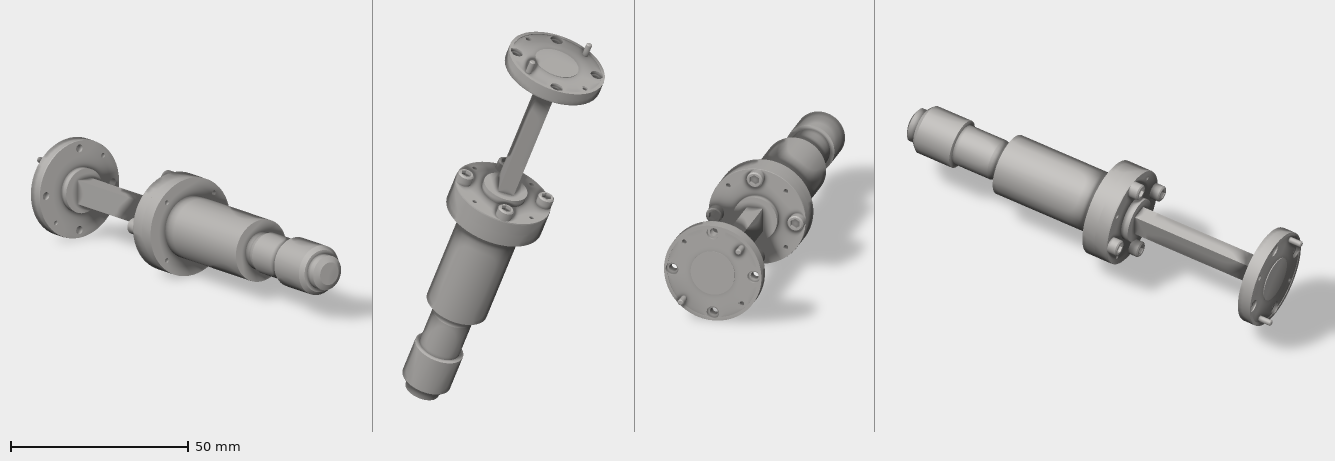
import cadquery as cq
import math


FRONT_FACE = 3.7
MICROMETER_FACE = 54.4
TOTAL_LENGTH = 122.0

FLANGE_RADIUS = 14.3
FLANGE_THICKNESS = 4.0
EDGE_CHAMFER_LENGTH = 0.4
EDGE_CHAMFER_DEPTH = 0.06
HUB_RADIUS = 6.5
HUB_LENGTH = 2.2
RECESS_RADIUS = 13.3
RECESS_DEPTH = 0.2

TUBE_WIDTH = 4.6
TUBE_HEIGHT = 7.0
BORE_WIDTH = 2.6
BORE_HEIGHT = 4.9

HOLE_CIRCLE_RADIUS = 12.0
SCREW_ANGLES = (0, 90, 180, 270)
PIN_ANGLES = (135, 315)
OPEN_HOLE_ANGLES = (45, 225)
PIN_HOLE_ANGLES = OPEN_HOLE_ANGLES + PIN_ANGLES
SCREW_HOLE_RADIUS = 1.16
COUNTERBORE_RADIUS = 1.8
COUNTERBORE_DEPTH = 1.2
PIN_RADIUS = 0.9
PIN_CHAMFER = 0.2
PIN_HOLE_RADIUS = 0.67
PIN_HOLE_MOUTH_RADIUS = 0.91
PIN_HOLE_MOUTH_DEPTH = 0.4

HEAD_RADIUS = 2.3
HEAD_LENGTH = 2.9
HEAD_CHAMFER = 0.4
SHANK_RADIUS = 1.5
SOCKET_ACROSS_FLATS = 2.7
SOCKET_DEPTH = 1.5
HEX_SIDES = 6
HEX_TURN = 180 / HEX_SIDES

BARREL_END = 90.7
BARREL_RADIUS = 9.0
NECK_END = 92.5
NECK_RADIUS = 5.5
STEM_START = 94.3
STEM_RADIUS = 6.0
STEM_END = 105.7
THIMBLE_START = 106.0
THIMBLE_EDGE = 117.2
THIMBLE_END = 118.4
THIMBLE_RADIUS = 7.2
THIMBLE_END_RADIUS = 6.1
CAP_EDGE = 121.0
CAP_RADIUS = 5.0
CAP_END_RADIUS = 3.3

FRONT_BACK = FRONT_FACE + FLANGE_THICKNESS
REAR_FACE = MICROMETER_FACE - FLANGE_THICKNESS
MICROMETER_BACK = MICROMETER_FACE + FLANGE_THICKNESS
HEAD_FACE = REAR_FACE - HEAD_LENGTH


def rod(start, end, radius, y=0.0, z=0.0):
    """Cylinder along X between two stations."""
    plane = cq.Workplane("YZ", origin=(start, y, z))
    return plane.circle(radius).extrude(end - start)


def bar(start, end, width, height):
    """Rectangular bar on the X axis between two stations."""
    return cq.Workplane("YZ", origin=(start, 0, 0)).rect(width, height).extrude(end - start)


def circle_point(angle):
    """Y and Z of a place on the hole circle, with the angle counted from +Y toward +Z."""
    turn = math.radians(angle)
    return HOLE_CIRCLE_RADIUS * math.cos(turn), HOLE_CIRCLE_RADIUS * math.sin(turn)


def drill(body, start, end, radius, angles):
    """Cut holes on the hole circle between two stations."""
    for angle in angles:
        body = body.cut(rod(start, end, radius, *circle_point(angle)))
    return body


def revolve_profile(profile):
    """Turn an outline of (X, radius) points about the X axis."""
    return cq.Workplane("XY").polyline(profile).close().revolve(360, (0, 0, 0), (1, 0, 0))


def make_flange(joint, direction):
    """Flange disc and hub, built from its joint face in the given X direction (+1 or -1)."""
    back = joint + direction * FLANGE_THICKNESS
    profile = [
        (joint, 0),
        (joint, FLANGE_RADIUS),
        (back - direction * EDGE_CHAMFER_LENGTH, FLANGE_RADIUS),
        (back, FLANGE_RADIUS - EDGE_CHAMFER_DEPTH),
        (back, HUB_RADIUS),
        (back + direction * HUB_LENGTH, HUB_RADIUS),
        (back + direction * HUB_LENGTH, 0),
    ]
    return revolve_profile(profile)


def make_waveguide():
    """Tube with a flange at each end, bored through for the plunger."""
    tube = bar(FRONT_BACK, REAR_FACE, TUBE_WIDTH, TUBE_HEIGHT)
    body = make_flange(FRONT_FACE, 1).union(tube).union(make_flange(MICROMETER_FACE, -1))
    recess_floor = FRONT_FACE + RECESS_DEPTH
    centre_land = rod(FRONT_FACE, recess_floor, HUB_RADIUS)
    recess = rod(FRONT_FACE, recess_floor, RECESS_RADIUS).cut(centre_land)
    body = body.cut(recess)
    body = body.cut(bar(FRONT_FACE, MICROMETER_FACE, BORE_WIDTH, BORE_HEIGHT))

    counterbore_floor = FRONT_FACE + COUNTERBORE_DEPTH
    mouth_floor = FRONT_FACE + PIN_HOLE_MOUTH_DEPTH
    body = drill(body, FRONT_FACE, FRONT_BACK, SCREW_HOLE_RADIUS, SCREW_ANGLES)
    body = drill(body, FRONT_FACE, counterbore_floor, COUNTERBORE_RADIUS, SCREW_ANGLES)
    body = drill(body, FRONT_FACE, FRONT_BACK, PIN_HOLE_RADIUS, OPEN_HOLE_ANGLES)
    body = drill(body, FRONT_FACE, mouth_floor, PIN_HOLE_MOUTH_RADIUS, OPEN_HOLE_ANGLES)
    body = drill(body, FRONT_FACE, FRONT_BACK, PIN_RADIUS, PIN_ANGLES)

    body = drill(body, REAR_FACE, MICROMETER_FACE, SHANK_RADIUS, SCREW_ANGLES)
    return drill(body, REAR_FACE, MICROMETER_FACE, PIN_HOLE_RADIUS, PIN_HOLE_ANGLES)


def make_micrometer():
    """Mounting flange, barrel, stem, thimble and cap, with the plunger on the front."""
    profile = [
        (MICROMETER_FACE, 0),
        (MICROMETER_FACE, FLANGE_RADIUS),
        (MICROMETER_BACK, FLANGE_RADIUS),
        (MICROMETER_BACK, BARREL_RADIUS),
        (BARREL_END, BARREL_RADIUS),
        (BARREL_END, NECK_RADIUS),
        (NECK_END, NECK_RADIUS),
        (STEM_START, STEM_RADIUS),
        (STEM_END, STEM_RADIUS),
        (THIMBLE_START, THIMBLE_RADIUS),
        (THIMBLE_EDGE, THIMBLE_RADIUS),
        (THIMBLE_END, THIMBLE_END_RADIUS),
        (THIMBLE_END, CAP_RADIUS),
        (CAP_EDGE, CAP_RADIUS),
        (TOTAL_LENGTH, CAP_END_RADIUS),
        (TOTAL_LENGTH, 0),
    ]
    plunger = bar(FRONT_FACE, MICROMETER_FACE, BORE_WIDTH, BORE_HEIGHT)
    body = revolve_profile(profile).union(plunger)
    body = drill(body, MICROMETER_FACE, MICROMETER_BACK, SHANK_RADIUS, SCREW_ANGLES)
    return drill(body, MICROMETER_FACE, MICROMETER_BACK, PIN_HOLE_RADIUS, PIN_HOLE_ANGLES)


def make_screw(angle):
    """Socket head screw whose shank passes through both bolted flanges."""
    y, z = circle_point(angle)
    head = rod(HEAD_FACE, REAR_FACE, HEAD_RADIUS, y, z).faces("<X").chamfer(HEAD_CHAMFER)
    shank = rod(REAR_FACE, MICROMETER_BACK, SHANK_RADIUS, y, z)
    across_corners = SOCKET_ACROSS_FLATS / math.cos(math.pi / HEX_SIDES)
    hexagon = cq.Workplane("YZ").polygon(HEX_SIDES, across_corners).extrude(SOCKET_DEPTH)
    socket = hexagon.rotate((0, 0, 0), (1, 0, 0), HEX_TURN).translate((HEAD_FACE, y, z))
    return head.union(shank).cut(socket)


def make_pin(angle):
    """Guide pin standing out of the front flange."""
    y, z = circle_point(angle)
    return rod(0, FRONT_BACK, PIN_RADIUS, y, z).faces("<X").chamfer(PIN_CHAMFER)


waveguide = make_waveguide()
micrometer = make_micrometer()
screws = [make_screw(angle) for angle in SCREW_ANGLES]
pins = [make_pin(angle) for angle in PIN_ANGLES]

result = cq.Compound.makeCompound(
    [
        waveguide.val(),
        micrometer.val(),
        *[screw.val() for screw in screws],
        *[pin.val() for pin in pins],
    ]
)